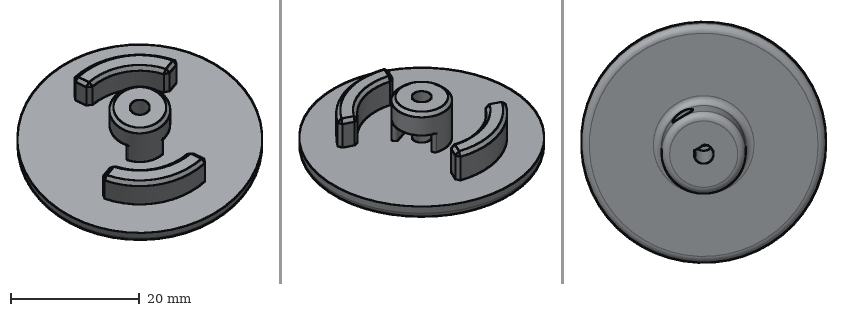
import cadquery as cq
import math

FLANGE_DIAMETER = 38.1
FLANGE_THICKNESS = 2.54
ROUND_RADIUS = FLANGE_THICKNESS / 2

BOSS_DIAMETER = 13.11
BOSS_LENGTH = 6.604
SCREW_HOLE_DIAMETER = 3.68

HUB_DIAMETER = 9.47
HUB_HEIGHT = 7.62
LEG_HEIGHT = 3.556
PASSAGE_WIDTH = 5.84
LEG_ROUND_RADIUS = 0.54
PASSAGE_ANGLE = 45.0

BORE_DIAMETER = 3.04
BORE_FLAT_OFFSET = 1.23

LUG_OUTER_RADIUS = 13.3
LUG_INNER_RADIUS = 10.05
LUG_HEIGHT = 5.08
LUG_END_OFFSET = 1.22

CHAMFER = 0.635

FLANGE_BOTTOM = -FLANGE_THICKNESS
BOSS_BOTTOM = FLANGE_BOTTOM - BOSS_LENGTH


def make_flange_and_boss():
    """Revolved half-section of the flange with the boss under it."""
    flange_radius = FLANGE_DIAMETER / 2
    boss_radius = BOSS_DIAMETER / 2
    r = ROUND_RADIUS
    return (
        cq.Workplane("XZ")
        .lineTo(flange_radius, 0)
        .lineTo(flange_radius, FLANGE_BOTTOM + r)
        .radiusArc((flange_radius - r, FLANGE_BOTTOM), r)
        .lineTo(boss_radius + r, FLANGE_BOTTOM)
        .radiusArc((boss_radius, FLANGE_BOTTOM - r), -r)
        .lineTo(boss_radius, BOSS_BOTTOM + r)
        .radiusArc((boss_radius - r, BOSS_BOTTOM), r)
        .lineTo(0, BOSS_BOTTOM)
        .close()
        .revolve(360, (0, 0), (0, 1))
    )


def make_hub():
    """Chamfered cap standing on two round-ended legs, one on each side of the open passage."""
    cap = (
        cq.Workplane("XY", origin=(0, 0, LEG_HEIGHT))
        .circle(HUB_DIAMETER / 2)
        .extrude(HUB_HEIGHT - LEG_HEIGHT)
        .faces(">Z")
        .chamfer(CHAMFER)
    )
    chord_offset = PASSAGE_WIDTH / 2
    chord_half_length = math.sqrt((HUB_DIAMETER / 2) ** 2 - chord_offset**2)
    leg = (
        cq.Workplane("XY")
        .moveTo(-chord_half_length, chord_offset)
        .threePointArc((0, HUB_DIAMETER / 2), (chord_half_length, chord_offset))
        .close()
        .extrude(LEG_HEIGHT)
        .edges("|Z")
        .fillet(LEG_ROUND_RADIUS)
    )
    hub = cap
    for side in (0, 180):
        hub = hub.union(leg.rotate((0, 0, 0), (0, 0, 1), PASSAGE_ANGLE + side))
    return hub


def make_lug():
    """Curved lug in the -X, +Y quadrant with chamfered ends and top."""
    def reach(radius):
        return math.sqrt(radius**2 - LUG_END_OFFSET**2)

    def middle(radius):
        return (-radius * math.sqrt(0.5), radius * math.sqrt(0.5))

    return (
        cq.Workplane("XY")
        .moveTo(-reach(LUG_OUTER_RADIUS), LUG_END_OFFSET)
        .threePointArc(middle(LUG_OUTER_RADIUS), (-LUG_END_OFFSET, reach(LUG_OUTER_RADIUS)))
        .lineTo(-LUG_END_OFFSET, reach(LUG_INNER_RADIUS))
        .threePointArc(middle(LUG_INNER_RADIUS), (-reach(LUG_INNER_RADIUS), LUG_END_OFFSET))
        .close()
        .extrude(LUG_HEIGHT)
        .edges("|Z or >Z")
        .chamfer(CHAMFER)
    )


def make_bore():
    """Round through the hub and flange, D-shaped through the boss."""
    radius = BORE_DIAMETER / 2
    round_bore = (
        cq.Workplane("XY", origin=(0, 0, FLANGE_BOTTOM))
        .circle(radius)
        .extrude(HUB_HEIGHT - FLANGE_BOTTOM)
    )
    shaft_bore = (
        cq.Workplane("XY", origin=(0, 0, BOSS_BOTTOM))
        .circle(radius)
        .extrude(BOSS_LENGTH)
    )
    flat_limit = (
        cq.Workplane("XY", origin=(0, BORE_FLAT_OFFSET - radius, BOSS_BOTTOM))
        .rect(BORE_DIAMETER, BORE_DIAMETER)
        .extrude(BOSS_LENGTH)
    )
    return round_bore.union(shaft_bore.intersect(flat_limit))


def make_screw_hole():
    """Radial set-screw hole from the +Y side of the boss to the bore axis."""
    mid_height = FLANGE_BOTTOM - BOSS_LENGTH / 2
    return (
        cq.Workplane("XZ", origin=(0, 0, mid_height))
        .circle(SCREW_HOLE_DIAMETER / 2)
        .extrude(-BOSS_DIAMETER)
    )


body = make_flange_and_boss().union(make_hub())
lug = make_lug()
for turn in (0, 180):
    body = body.union(lug.rotate((0, 0, 0), (0, 0, 1), turn))
result = body.cut(make_bore()).cut(make_screw_hole())